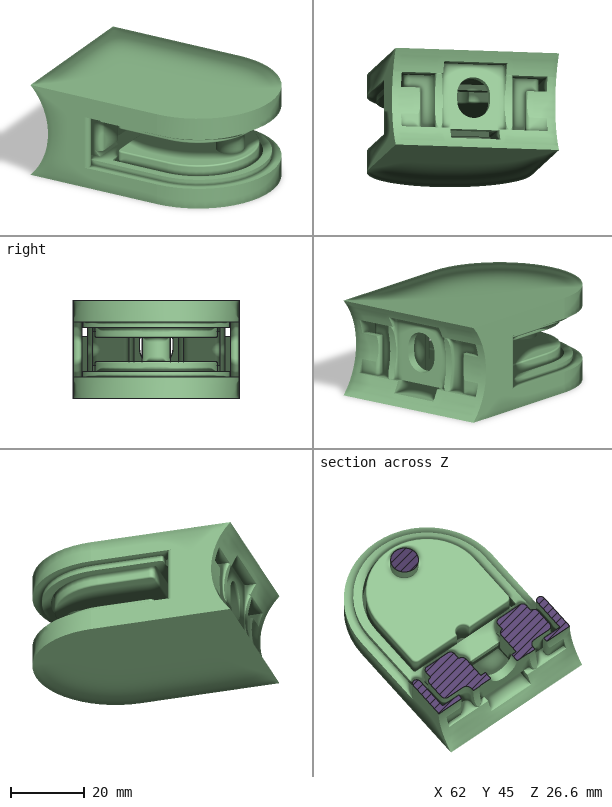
import cadquery as cq
length = 62.0
width = 45.0
height = 26.6
jaw_thickness = 5.8
nose_radius = width / 2
nose_center_x = length - nose_radius
mid_z = height / 2
slot_bottom = jaw_thickness
slot_top = height - jaw_thickness
slot_height = slot_top - slot_bottom

seat_depth = 5.45
seat_radius = (seat_depth**2 + mid_z**2) / (2 * seat_depth)
seat_center_x = seat_depth - seat_radius

side_wall_inner_y = 20.1
side_wall_thickness = nose_radius - side_wall_inner_y
side_wall_end_x = 18.0
lip_front_x = 5.1
lip_thickness = 1.85
lip_round = 1.0
lip_inner_y = 14.5
lip_top = 16.85
floor_pocket_half_width = 6.75
floor_pocket_end_x = 16.75

plate_front_x = 5.6
plate_back_x = 8.1
plate_half_width = 8.7
plate_corner_round = 0.6
rib_tip_x = 3.95
rib_thickness = 2.0
rib_outer_y = plate_half_width + rib_thickness
rib_root_round = 1.6
leg_front_x = 8.0
leg_back_x = 16.0
leg_outer_y = 18.65
leg_inner_y = 6.0
leg_corner_round = 1.4
adjusting_slot_width = 9.0
adjusting_slot_bottom = 9.05
adjusting_slot_length = 11.15

heel_x = 19.2
heel_bottom = 9.0
heel_top = 18.2
heel_inner_y = leg_inner_y + leg_corner_round
heel_outer_y = leg_outer_y - leg_corner_round
heel_round = 1.3
shelf_x = 19.9
foot_x = 18.65

rim_height = 1.55
rim_half_width = 19.95
rim_corner_round = 0.75
recess_depth = 3.05
recess_clearance = 0.9
recess_corner_round = 0.5
pad_rise = 2.65
pad_height = recess_depth + rim_height + pad_rise
pad_half_width = 16.55
pad_start_x = 23.5
pad_corner_round = 1.4
pad_edge_round = 0.45
notch_diameter = 4.2
notch_edge_round = 0.2

tongue_top = slot_top + recess_depth

pin_diameter = 7.7
pin_x = 49.4

full_round = 0.499


def box(x_start, x_end, y_start, y_end, z_start, z_end):
    """Box between two opposite corners."""
    return cq.Workplane("XY").box(
        x_end - x_start, y_end - y_start, z_end - z_start, centered=False
    ).translate((x_start, y_start, z_start))


def both_sides(shape):
    """The shape together with its mirror image across the XZ plane."""
    return shape.union(shape.mirror("XZ"))


def d_plate(start_x, half_width, bottom, thickness):
    """Plate with a straight back edge and a round nose about the common nose center."""
    return (
        cq.Workplane("XY")
        .workplane(offset=bottom)
        .moveTo(start_x, -half_width)
        .lineTo(nose_center_x, -half_width)
        .threePointArc((nose_center_x + half_width, 0), (nose_center_x, half_width))
        .lineTo(start_x, half_width)
        .close()
        .extrude(thickness)
    )


def post_seat():
    """Cylinder of the round post that the clamp is mounted against."""
    return (
        cq.Workplane("XZ", origin=(seat_center_x, 0, mid_z))
        .circle(seat_radius)
        .extrude(width, both=True)
    )


def plate_corner():
    """Concave round between the front plate and the inner side of a rib."""
    start_x = plate_front_x - plate_corner_round
    start_y = plate_half_width - plate_corner_round
    corner = box(start_x, plate_front_x, start_y, plate_half_width, slot_bottom, tongue_top)
    round_cut = (
        cq.Workplane("XY")
        .workplane(offset=slot_bottom)
        .center(start_x, start_y)
        .circle(plate_corner_round)
        .extrude(tongue_top - slot_bottom)
    )
    return corner.cut(round_cut)


def rib():
    """Rib with a rounded tip, running from a leg toward the post."""
    blade = box(rib_tip_x, leg_front_x, plate_half_width, rib_outer_y, slot_bottom, slot_top)
    blade = blade.edges("|Z and <X").fillet(full_round * rib_thickness)
    root_x = leg_front_x - rib_root_round
    root_y = rib_outer_y + rib_root_round
    root = box(root_x, leg_front_x, rib_outer_y, root_y, slot_bottom, slot_top)
    root_cut = (
        cq.Workplane("XY", origin=(root_x, root_y, slot_bottom))
        .circle(rib_root_round)
        .extrude(slot_height)
    )
    return blade.union(root.cut(root_cut))


def heel():
    """Rounded heel behind a leg, with its chamfered shelf and its sloped foot."""
    block = box(leg_back_x, heel_x, heel_inner_y, heel_outer_y, heel_bottom, heel_top)
    block = block.edges("|Z and >X").fillet(heel_round)
    shelf = box(leg_back_x, shelf_x, heel_inner_y, heel_outer_y, heel_top, slot_top)
    shelf = shelf.edges("|Y and >X and <Z").chamfer(slot_top - rim_height - heel_top)
    rim_top = slot_bottom + rim_height
    foot = (
        cq.Workplane("XZ", origin=(0, heel_outer_y, 0))
        .moveTo(leg_back_x, rim_top)
        .lineTo(foot_x, rim_top)
        .lineTo(foot_x - (heel_bottom - rim_top), heel_bottom)
        .lineTo(leg_back_x, heel_bottom)
        .close()
        .extrude(heel_outer_y - heel_inner_y)
    )
    return block.union(shelf).union(foot)


def leg():
    """Leg standing beside the open middle of the housing."""
    block = box(leg_front_x, leg_back_x, leg_inner_y, leg_outer_y, slot_bottom, slot_top)
    block = block.edges("|Z and (>Y or >X)").fillet(leg_corner_round)
    return block.union(rib()).union(heel())


def front_plate():
    """Front plate, reaching above the slot as a tongue."""
    plate = box(
        plate_front_x, plate_back_x, -plate_half_width, plate_half_width, slot_bottom, tongue_top
    )
    return plate.union(both_sides(plate_corner()))


def adjusting_slot():
    """Upright slot through the front plate."""
    return (
        cq.Workplane("YZ", origin=(0, 0, adjusting_slot_bottom + adjusting_slot_length / 2))
        .slot2D(adjusting_slot_length, adjusting_slot_width, 90)
        .extrude(plate_back_x)
    )


def side_wall():
    """Side wall with a half-round end and an inward lip."""
    wall = box(0, side_wall_end_x, side_wall_inner_y, nose_radius, slot_bottom, slot_top)
    wall = wall.edges("|Z and >X").fillet(full_round * side_wall_thickness)
    lip = box(
        lip_front_x, lip_front_x + lip_thickness, lip_inner_y, side_wall_inner_y, slot_bottom, lip_top
    )
    lip = lip.edges("|Z and <X and <Y").fillet(lip_round)
    return wall.union(lip)


def pad_recess():
    """Recess in the lower jaw that leaves a gap all around the pad."""
    recess = d_plate(
        pad_start_x - recess_clearance,
        pad_half_width + recess_clearance,
        slot_bottom - recess_depth,
        recess_depth + rim_height,
    )
    return recess.edges("|Z and <X").fillet(recess_corner_round)


def make_housing():
    """Lower jaw with its rim, side walls, front plate and legs."""
    jaw = d_plate(0, nose_radius, 0, jaw_thickness)
    rim = d_plate(leg_back_x, rim_half_width, slot_bottom, rim_height)
    floor_pocket = box(
        0,
        floor_pocket_end_x,
        -floor_pocket_half_width,
        floor_pocket_half_width,
        slot_bottom - recess_depth,
        slot_bottom,
    )
    uprights = both_sides(side_wall().union(leg())).union(front_plate())
    return (
        jaw.cut(floor_pocket)
        .union(rim)
        .cut(pad_recess())
        .union(uprights)
        .cut(adjusting_slot())
        .cut(post_seat())
    )


def turned_over(shape):
    """The shape mirrored from the lower jaw to the upper jaw."""
    return shape.mirror("XY", (0, 0, mid_z))


def make_cover():
    """Upper jaw with its rim and a recess for the tongue of the front plate."""
    jaw = d_plate(0, nose_radius, 0, jaw_thickness)
    rim = d_plate(shelf_x, rim_half_width, slot_bottom, rim_height)
    rim = rim.edges("|Z and <X").fillet(rim_corner_round)
    tongue_recess = box(0, plate_back_x, -plate_half_width, plate_half_width, slot_top, tongue_top)
    return turned_over(jaw.union(rim).cut(pad_recess())).cut(tongue_recess).cut(post_seat())


def make_pad():
    """Pad standing in the recess of the lower jaw, with a notch and a hole for the pin."""
    pad_bottom = slot_bottom - recess_depth
    notch = (
        cq.Workplane("XY", origin=(pad_start_x, 0, pad_bottom))
        .circle(notch_diameter / 2)
        .extrude(pad_height)
    )
    pin_hole = (
        cq.Workplane("XY", origin=(pin_x, 0, pad_bottom)).circle(pin_diameter / 2).extrude(pad_height)
    )
    pad = d_plate(pad_start_x, pad_half_width, pad_bottom, pad_height)
    pad = pad.edges("|Z and <X").fillet(pad_corner_round).cut(notch)
    pad = pad.edges("|Z and <X").fillet(notch_edge_round)
    return pad.faces(">Z").edges().fillet(pad_edge_round).cut(pin_hole)


def make_pin():
    """Safety pin passing through both pads."""
    pin_bottom = slot_bottom - recess_depth
    return (
        cq.Workplane("XY", origin=(pin_x, 0, pin_bottom))
        .circle(pin_diameter / 2)
        .extrude(height - 2 * pin_bottom)
    )


housing = make_housing()
cover = make_cover()
lower_pad = make_pad()
upper_pad = turned_over(lower_pad)
pin = make_pin()

result = cq.Compound.makeCompound(
    [housing.val(), cover.val(), lower_pad.val(), upper_pad.val(), pin.val()]
)